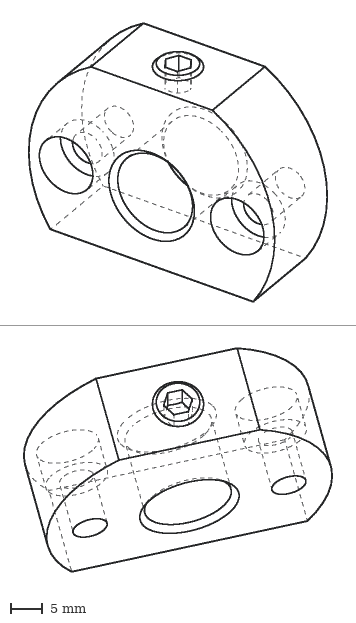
import cadquery as cq
import math

disc_radius = 23.0
thickness = 15.0
top_height = 20.0
bottom_depth = 13.0

bore_diameter = 14.0
bore_chamfer = 1.0

mount_spacing = 32.0
mount_hole_diameter = 5.5
counterbore_diameter = 10.0
counterbore_depth = 6.0

screw_diameter = 8.0
screw_protrusion = 0.6
socket_sides = 6
socket_across_flats = 4.0
socket_depth = 4.0
socket_tip_angle = 120.0

front_y = -thickness / 2
back_y = thickness / 2


def cylinder_along_y(diameter, x, start_y, length):
    """Cylinder parallel to Y, running from start_y towards +Y."""
    return cq.Workplane(cq.Solid.makeCylinder(
        diameter / 2, length, cq.Vector(x, start_y, 0), cq.Vector(0, 1, 0)))


def make_plate():
    disc = cylinder_along_y(2 * disc_radius, 0, front_y, thickness)
    between_flats = cq.Workplane("XY").workplane(offset=-bottom_depth).rect(
        2 * disc_radius, thickness).extrude(bottom_depth + top_height)
    return disc.intersect(between_flats)


def make_bore():
    bore_radius = bore_diameter / 2
    mouth_radius = bore_radius + bore_chamfer
    profile = cq.Workplane("XY").polyline([
        (0, front_y),
        (mouth_radius, front_y),
        (bore_radius, front_y + bore_chamfer),
        (bore_radius, back_y - bore_chamfer),
        (mouth_radius, back_y),
        (0, back_y),
    ]).close()
    return profile.revolve(360, (0, 0, 0), (0, 1, 0))


def make_mount_hole(x):
    through_hole = cylinder_along_y(mount_hole_diameter, x, front_y, thickness)
    counterbore = cylinder_along_y(counterbore_diameter, x, front_y, counterbore_depth)
    return through_hole.union(counterbore)


def make_screw_end():
    """Chamfered end of the set screw standing above the top flat."""
    screw_radius = screw_diameter / 2
    end_radius = screw_radius - screw_protrusion
    return cq.Workplane(cq.Solid.makeCone(
        screw_radius, end_radius, screw_protrusion, cq.Vector(0, 0, top_height)))


def make_socket():
    """Hexagon socket, corners along X, whose whole floor is a shallow cone."""
    across_corners = socket_across_flats / math.cos(math.pi / socket_sides)
    corner_radius = across_corners / 2
    tip_height = corner_radius / math.tan(math.radians(socket_tip_angle / 2))
    rim_z = top_height + screw_protrusion - socket_depth
    tip_z = rim_z - tip_height
    hexagon = cq.Workplane("XY").workplane(offset=tip_z).polygon(
        socket_sides, across_corners).extrude(tip_height + socket_depth)
    cone = cq.Workplane(cq.Solid.makeCone(
        0, corner_radius, tip_height, cq.Vector(0, 0, tip_z)))
    shaft = cq.Workplane("XY").workplane(offset=rim_z).circle(
        corner_radius).extrude(socket_depth)
    return hexagon.intersect(cone.union(shaft))


result = make_plate().cut(make_bore())
for side in (-1, 1):
    result = result.cut(make_mount_hole(side * mount_spacing / 2))
result = result.union(make_screw_end())
result = result.cut(make_socket())